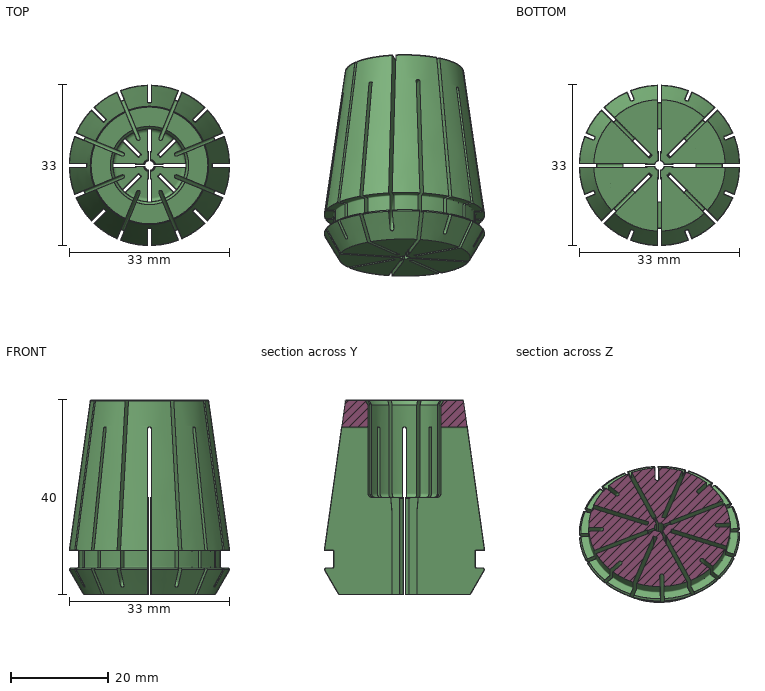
import cadquery as cq
import math


height = 40.0
max_diameter = 33.0
max_radius = max_diameter / 2
margin = 2.0

nose_angle = 30.0
nose_height = 5.15
lip_chamfer_width = 0.3
lip_top = 5.5
groove_radius = 14.6
groove_fillet = 0.2
cone_bottom = 9.1
cone_angle = 8.0
top_chamfer = 0.15

bore_diameter = 15.0
bore_radius = bore_diameter / 2
bore_floor = 20.0
floor_fillet = 0.8
bore_chamfer_width = 0.55
bore_chamfer_depth = 0.95
small_bore_radius = 1.0
small_bore_chamfer = 0.25

slots_per_end = 8
pitch = 360.0 / slots_per_end
slot_width = 0.75
bottom_slot_top = 34.5
slit_width = 0.4
slit_count = 4

core_radius = 2.55
core_rim_radius = 2.85
core_arc_start = 15.2

floor_inner_radius = 5.6
floor_nose_height = 1.55

nose_radius = max_radius - nose_height * math.tan(math.radians(nose_angle))
cone_slope = math.tan(math.radians(cone_angle))
top_radius = max_radius - (height - cone_bottom) * cone_slope
cutter_reach = 2 * max_radius


def revolved_body():
    """Solid of revolution with all turned features."""
    chamfer_base = height - top_chamfer
    profile = (
        cq.Workplane("XZ")
        .moveTo(small_bore_radius, 0)
        .lineTo(nose_radius, 0)
        .lineTo(max_radius, nose_height)
        .lineTo(max_radius - lip_chamfer_width, lip_top)
        .lineTo(groove_radius + groove_fillet, lip_top)
        .radiusArc((groove_radius, lip_top + groove_fillet), groove_fillet)
        .lineTo(groove_radius, cone_bottom - groove_fillet)
        .radiusArc((groove_radius + groove_fillet, cone_bottom), groove_fillet)
        .lineTo(max_radius, cone_bottom)
        .lineTo(top_radius + top_chamfer * cone_slope, chamfer_base)
        .lineTo(top_radius - top_chamfer, height)
        .lineTo(bore_radius + bore_chamfer_width, height)
        .lineTo(bore_radius, height - bore_chamfer_depth)
        .lineTo(bore_radius, bore_floor + floor_fillet)
        .radiusArc((bore_radius - floor_fillet, bore_floor), floor_fillet)
        .lineTo(small_bore_radius + small_bore_chamfer, bore_floor)
        .lineTo(small_bore_radius, bore_floor - small_bore_chamfer)
        .close()
    )
    return profile.revolve(360, (0, 0, 0), (0, 1, 0))


def slot_core():
    """Round core left standing at the inner ends of the bottom slots."""
    arc_height = bore_floor - core_arc_start
    arc_lean = core_rim_radius - core_radius
    arc_radius = (arc_height**2 + arc_lean**2) / (2 * arc_lean)
    profile = (
        cq.Workplane("XZ")
        .moveTo(0, -margin)
        .lineTo(core_radius, -margin)
        .lineTo(core_radius, core_arc_start)
        .radiusArc((core_rim_radius, bore_floor), arc_radius)
        .lineTo(0, bore_floor)
        .close()
    )
    return profile.revolve(360, (0, 0, 0), (0, 1, 0))


def bottom_slot():
    """Radial slot along +X, open at the bottom and round at its top end."""
    half_width = slot_width / 2
    profile = (
        cq.Workplane("YZ")
        .moveTo(-half_width, -margin)
        .lineTo(half_width, -margin)
        .lineTo(half_width, bottom_slot_top - half_width)
        .threePointArc((0, bottom_slot_top), (-half_width, bottom_slot_top - half_width))
        .close()
    )
    return profile.extrude(max_radius + margin).cut(slot_core())


def top_slot():
    """Radial slot along +X, open at the top, with a round floor sloping down to the nose."""
    floor_nose_radius = nose_radius + floor_nose_height * math.tan(math.radians(nose_angle))
    run = floor_nose_radius - floor_inner_radius
    rise = bore_floor - floor_nose_height
    half_width = slot_width / 2
    start_height = floor_nose_height - margin
    start_radius = floor_nose_radius + margin * run / rise
    travel = (height + margin - start_height) * math.hypot(run, rise) / rise
    section_plane = cq.Plane(
        origin=(start_radius, 0, start_height), xDir=(rise, 0, run), normal=(-run, 0, rise)
    )
    section = (
        cq.Workplane(section_plane)
        .moveTo(half_width, -half_width)
        .lineTo(cutter_reach, -half_width)
        .lineTo(cutter_reach, half_width)
        .lineTo(half_width, half_width)
        .threePointArc((0, 0), (half_width, -half_width))
        .close()
    )
    return section.extrude(travel)


def narrow_slit():
    """Thin slit along +X through the core into the small bore."""
    return cq.Workplane("XY").box(
        core_rim_radius, slit_width, bore_floor, centered=(False, True, False)
    )


def cut_around(body, cutter, count, first_angle=0.0):
    """Cut evenly spaced copies of a cutter around the Z axis."""
    for index in range(count):
        angle = first_angle + index * 360.0 / count
        body = body.cut(cutter.rotate((0, 0, 0), (0, 0, 1), angle))
    return body


result = revolved_body()
result = cut_around(result, bottom_slot(), slots_per_end)
result = cut_around(result, narrow_slit(), slit_count)
result = cut_around(result, top_slot(), slots_per_end, pitch / 2)